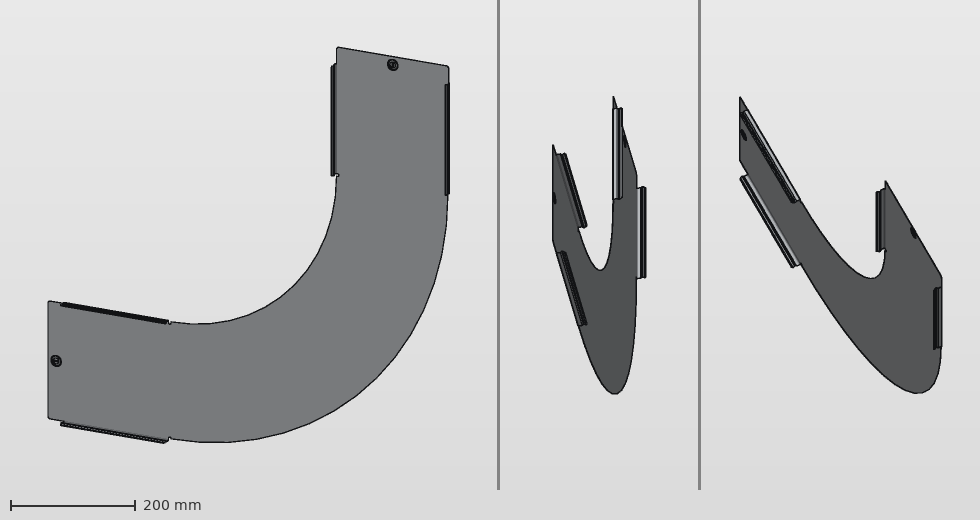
import cadquery as cq
import math

overall = 720.5
depth = 17.0
sheet = 1.0

flange_width = 205.0
edge_setback = 2.0
corner_radius = 4.0
flange_start = 29.0
flange_end = 216.0
relief_width = 4.0
relief_depth = 6.5

outer_setback = 3.5
inner_setback = 2.0
curve_start = flange_end + relief_width
centre_x = curve_start
centre_z = overall - curve_start
outer_radius = centre_z - outer_setback
inner_radius = centre_z - flange_width + inner_setback

bend_radius = 1.5
jog_depth = 2.0
jog_top = 7.0
jog_peak_top = 9.5
jog_peak_bottom = 11.0
jog_bottom = 14.0
flange_corner = 2.0

dimple_offset = 14.5
dimple_height = 1.5
dimple_front_radius = 10.0
dimple_back_radius = 9.0
dimple_floor_radius = 8.0
screw_radius = 5.0
screw_height = 1.5
slot_length = 6.5
slot_width = 1.5

flange_drop = depth - dimple_height
arm_middle = flange_width / 2


def plate_plane(y=0):
    """Sketch plane parallel to the plate; extruding goes towards -Y."""
    return cq.Workplane("XZ", origin=(0, y, 0))


def curved_plate():
    diagonal = math.sqrt(0.5)

    def on_diagonal(radius):
        return (centre_x + radius * diagonal, centre_z - radius * diagonal)

    return (
        plate_plane()
        .moveTo(centre_x, centre_z - outer_radius)
        .threePointArc(on_diagonal(outer_radius), (centre_x + outer_radius, centre_z))
        .lineTo(centre_x + inner_radius, centre_z)
        .threePointArc(on_diagonal(inner_radius), (centre_x, centre_z - inner_radius))
        .close()
        .extrude(sheet)
    )


def arm_plate():
    arm_width = flange_width - 2 * edge_setback
    plate = (
        plate_plane()
        .center(curve_start / 2, arm_middle)
        .rect(curve_start, arm_width)
        .extrude(sheet)
        .edges("|Y and <X")
        .fillet(corner_radius)
    )
    relief_radius = relief_width / 2
    relief = (
        plate_plane()
        .moveTo(flange_end, 0)
        .lineTo(flange_end, relief_depth - relief_radius)
        .threePointArc(
            (flange_end + relief_radius, relief_depth),
            (curve_start, relief_depth - relief_radius),
        )
        .lineTo(curve_start, 0)
        .close()
        .extrude(sheet)
    )
    return plate.cut(relief).cut(flip_across_arm(relief))


def flip_across_arm(body):
    return body.mirror("XY", (0, 0, arm_middle))


def flange():
    """Bent clip along the z = 0 edge, with its jog pointing into the arm."""
    bend_mid = bend_radius * (1 - math.sqrt(0.5))
    inner_bend = bend_radius - sheet
    inner_mid = bend_radius - inner_bend * math.sqrt(0.5)
    plate_overlap = 2 * bend_radius
    profile = (
        cq.Workplane("YZ", origin=(flange_start, 0, 0))
        .moveTo(0, plate_overlap)
        .lineTo(0, bend_radius)
        .threePointArc((-bend_mid, bend_mid), (-bend_radius, 0))
        .lineTo(-jog_top, 0)
        .lineTo(-jog_peak_top, jog_depth)
        .lineTo(-jog_peak_bottom, jog_depth)
        .lineTo(-jog_bottom, 0)
        .lineTo(-flange_drop, 0)
        .lineTo(-flange_drop, sheet)
        .lineTo(-jog_bottom, sheet)
        .lineTo(-jog_peak_bottom, jog_depth + sheet)
        .lineTo(-jog_peak_top, jog_depth + sheet)
        .lineTo(-jog_top, sheet)
        .lineTo(-bend_radius, sheet)
        .threePointArc((-inner_mid, inner_mid), (-sheet, bend_radius))
        .lineTo(-sheet, plate_overlap)
        .close()
    )
    body = profile.extrude(flange_end - flange_start)
    return body.edges("|Z and <Y").chamfer(flange_corner)


def cone(front_radius, back_radius, front_y, back_y):
    """Round or tapered plug on the dimple axis."""
    return (
        plate_plane(back_y)
        .center(dimple_offset, arm_middle)
        .circle(back_radius)
        .workplane(offset=back_y - front_y)
        .circle(front_radius)
        .loft()
    )


def with_dimple(plate):
    shell = cone(dimple_front_radius, dimple_back_radius, -sheet, dimple_height)
    floor_y = dimple_height - sheet
    recess = cone(dimple_back_radius, dimple_floor_radius, -sheet, floor_y)
    screw = cone(screw_radius, screw_radius, floor_y - screw_height, floor_y)
    slot = (
        plate_plane(floor_y)
        .center(dimple_offset, arm_middle)
        .rect(slot_length, slot_width)
        .extrude(screw_height)
    )
    return plate.union(shell).cut(recess).union(screw.cut(slot))


def arm():
    clip = flange()
    return with_dimple(arm_plate()).union(clip).union(flip_across_arm(clip))


first_arm = arm()
second_arm = first_arm.mirror(cq.Vector(1, 0, 1), (overall / 2, 0, overall / 2))
result = curved_plate().union(first_arm).union(second_arm)